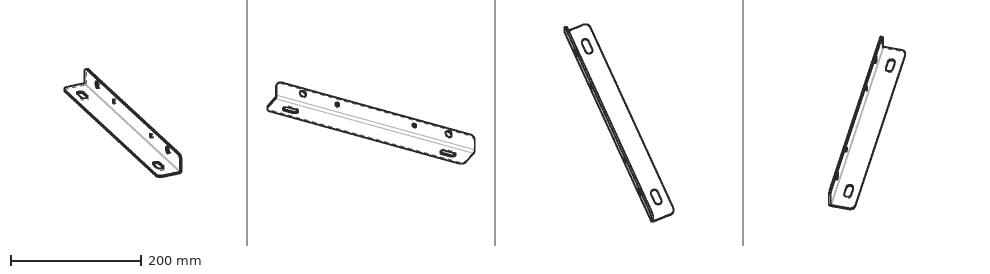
import cadquery as cq

length = 340.0
depth = 40.0
height = 30.0

thickness = 3.0
inner_bend_radius = 1.0
outer_bend_radius = inner_bend_radius + thickness
corner_radius = 8.0

large_hole_diameter = 11.0
large_hole_spacing = 250.2
large_hole_from_top = 10.0
small_hole_diameter = 6.8
small_hole_spacing = 132.0
small_hole_from_top = 12.0

slot_length = 25.0
slot_width = 11.0
slot_spacing = 270.0
slot_from_front = 17.0


def bent_sheet():
    """L-section with a rounded bend, its outer heel at Y = depth, Z = 0."""
    profile = (
        cq.Workplane("YZ")
        .polyline([
            (0, 0),
            (depth, 0),
            (depth, height),
            (depth - thickness, height),
            (depth - thickness, thickness),
            (0, thickness),
        ])
        .close()
    )
    sheet = profile.extrude(length / 2, both=True)
    heel = cq.selectors.NearestToPointSelector((0, depth, 0))
    inside = cq.selectors.NearestToPointSelector((0, depth - thickness, thickness))
    return sheet.edges(heel).fillet(outer_bend_radius).edges(inside).fillet(inner_bend_radius)


def round_flange_corners(sheet):
    """Round the free corners of both flanges."""
    base_corners = sheet.faces("<Y").edges("|Z")
    rounded = base_corners.fillet(corner_radius)
    return rounded.faces(">Z").edges("|Y").fillet(corner_radius)


def upright_hole_pair(diameter, spacing, from_top):
    """Cutters for two holes through the upright, symmetric about mid-length."""
    centre_height = height - from_top
    return (
        cq.Workplane("XZ")
        .pushPoints([(side * spacing / 2, centre_height) for side in (-1, 1)])
        .circle(diameter / 2)
        .extrude(-depth)
    )


def base_slot_pair():
    """Cutters for two lengthwise slots through the base."""
    return (
        cq.Workplane("XY")
        .pushPoints([(side * slot_spacing / 2, slot_from_front) for side in (-1, 1)])
        .slot2D(slot_length, slot_width)
        .extrude(height)
    )


bracket = round_flange_corners(bent_sheet())
bracket = bracket.cut(upright_hole_pair(large_hole_diameter, large_hole_spacing, large_hole_from_top))
bracket = bracket.cut(upright_hole_pair(small_hole_diameter, small_hole_spacing, small_hole_from_top))
result = bracket.cut(base_slot_pair())